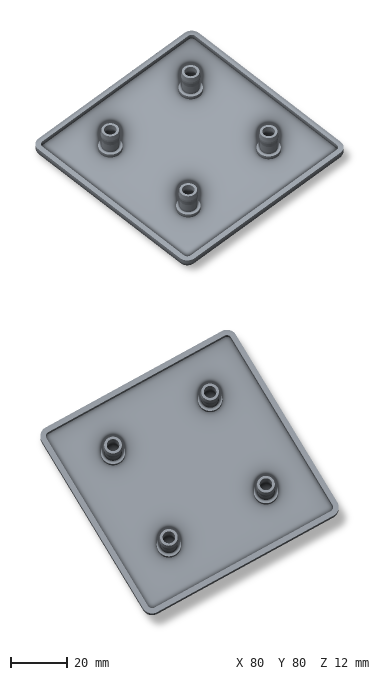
import cadquery as cq

side = 80.0
tray_height = 4.0
corner_radius = 3.7
bottom_fillet = 2.2
wall = 2.0
floor = 2.0

pin_spacing = 40.0
pin_top = 12.0
pin_radius = 6.3 / 2
collar_radius = 6.9 / 2
collar_top = 10.0
collar_bottom = 9.2
neck_top = 7.2
foot_radius = 8.7 / 2
foot_top = 3.5

bore_radius = 4.5 / 2
bore_depth = 8.0


def make_tray():
    body = cq.Workplane("XY").rect(side, side).extrude(tray_height)
    body = body.edges("|Z").fillet(corner_radius)
    body = body.faces("<Z").edges().fillet(bottom_fillet)
    pocket_side = side - 2 * wall
    pocket = (
        cq.Workplane("XY")
        .workplane(offset=floor)
        .rect(pocket_side, pocket_side)
        .extrude(tray_height - floor)
        .edges("|Z")
        .fillet(corner_radius - wall)
    )
    return body.cut(pocket)


def make_pin():
    """Revolved pin with a wide foot, a tapered collar and a round-ended bore."""
    embed = floor / 2
    bore_bottom = pin_top - bore_depth
    bore_shoulder = bore_bottom + bore_radius
    arc_offset = bore_radius * 0.5**0.5
    return (
        cq.Workplane("XZ")
        .moveTo(0, embed)
        .lineTo(foot_radius, embed)
        .lineTo(foot_radius, foot_top)
        .lineTo(pin_radius, foot_top)
        .lineTo(pin_radius, neck_top)
        .lineTo(collar_radius, collar_bottom)
        .lineTo(collar_radius, collar_top)
        .lineTo(pin_radius, pin_top)
        .lineTo(bore_radius, pin_top)
        .lineTo(bore_radius, bore_shoulder)
        .threePointArc((arc_offset, bore_shoulder - arc_offset), (0, bore_bottom))
        .close()
        .revolve(360, (0, 0, 0), (0, 1, 0))
    )


result = make_tray()
pin = make_pin()
for x in (-pin_spacing / 2, pin_spacing / 2):
    for y in (-pin_spacing / 2, pin_spacing / 2):
        result = result.union(pin.translate((x, y, 0)))